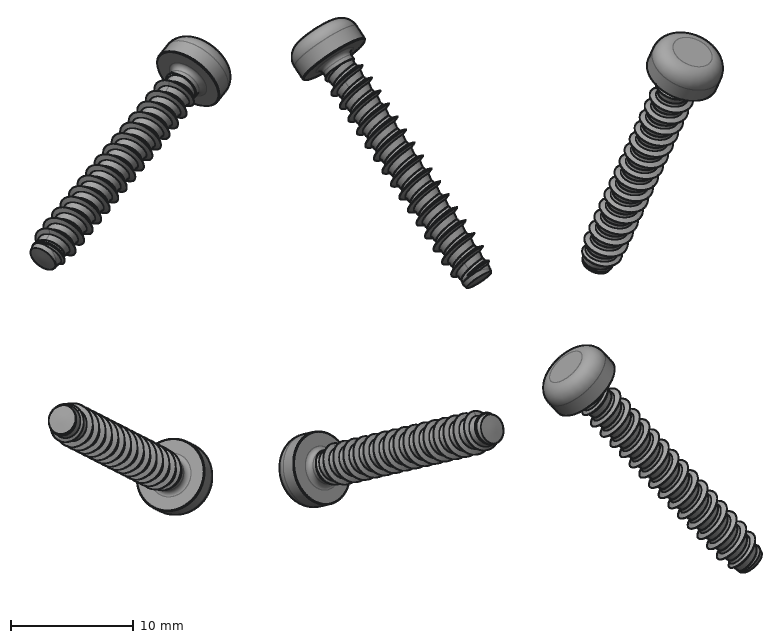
import cadquery as cq
import math


total_length = 24.7
head_diameter = 6.1
head_height = 2.72
shank_length = total_length - head_height

head_radius = head_diameter / 2
head_round = 1.35
head_edge_chamfer = 0.07

neck_radius = 1.38
neck_end = 0.85
neck_fillet = 0.45
neck_chamfer = 0.1

core_radius = 1.2
tip_taper_length = 0.45
tip_cone_height = 0.07
tip_edge = shank_length - tip_cone_height

first_crest_depth = 2.95
full_turns = 13
full_thread_length = 16.76
pitch = full_thread_length / full_turns
crest_radius = 1.78
crest_half_width = 0.02
root_radius = 1.33
tooth_half_width = 0.2
knee_radius = 1.3
skirt_radius = 1.23
buried_radius = 1.1
skirt_head_side = 0.47
skirt_gap = 0.02
skirt_tip_side = pitch - skirt_head_side - skirt_gap

ORIGIN = cq.Vector(0, 0, 0)
X_AXIS = cq.Vector(1, 0, 0)
Z_AXIS = cq.Vector(0, 0, 1)
ANGLE_FOR_CYLINDER = 360

crest_path = [
    (-2.5, root_radius),
    (-2.0, root_radius),
    (-0.7, crest_radius),
    (full_turns + 0.3, crest_radius),
    (full_turns + 1.6, root_radius),
    (full_turns + 2.3, root_radius),
]


def make_body():
    """Head, neck, core and tip as one turned solid."""
    blank = (
        cq.Workplane("XZ")
        .moveTo(0, -head_height)
        .lineTo(head_radius - head_round, -head_height)
        .radiusArc((head_radius, head_round - head_height), -head_round)
        .lineTo(head_radius, -head_edge_chamfer)
        .lineTo(head_radius - head_edge_chamfer, 0)
        .lineTo(neck_radius + neck_fillet, 0)
        .radiusArc((neck_radius, neck_fillet), neck_fillet)
        .lineTo(neck_radius, neck_end)
        .lineTo(core_radius, neck_end + neck_chamfer)
        .lineTo(core_radius, tip_edge)
        .lineTo(0, shank_length)
        .close()
    )
    return blank.revolve(360, (0, 0, 0), (0, 1, 0))


def tooth_profile(crest):
    """Tooth section as (radius, offset toward the tip), for one crest radius."""
    return [
        (buried_radius, -skirt_head_side),
        (skirt_radius, -skirt_head_side),
        (knee_radius, -tooth_half_width),
        (crest, -crest_half_width),
        (crest, crest_half_width),
        (root_radius, tooth_half_width),
        (skirt_radius, skirt_tip_side),
        (buried_radius, skirt_tip_side),
    ]


def helix_edge(narrow_turn, wide_turn, narrow_point, wide_point):
    """Helix that one corner of the tooth section follows, from its narrow end.

    A helix along a cone can only widen as it climbs, so a stretch that narrows
    toward the tip is built from its far end and turned over.
    """
    narrow_radius, offset = narrow_point
    rise = abs(wide_turn - narrow_turn) * pitch
    cone_angle = math.atan2(wide_point[0] - narrow_radius, rise)
    slant = 1 / math.cos(cone_angle)
    helix_angle = math.degrees(cone_angle) or ANGLE_FOR_CYLINDER
    helix = cq.Wire.makeHelix(pitch * slant, rise * slant, narrow_radius, angle=helix_angle)
    if wide_turn < narrow_turn:
        helix = helix.rotate(ORIGIN, X_AXIS, 180)
    depth = first_crest_depth + narrow_turn * pitch + offset
    return helix.rotate(ORIGIN, Z_AXIS, 360 * narrow_turn).translate(cq.Vector(0, 0, depth))


def section_cap(turn, profile):
    """Flat end face of the thread at one turn position."""
    depth = first_crest_depth + turn * pitch
    corners = [cq.Vector(radius, 0, depth + offset) for radius, offset in profile]
    face = cq.Face.makeFromWires(cq.Wire.makePolygon(corners, close=True))
    return face.rotate(ORIGIN, Z_AXIS, 360 * turn)


def thread_faces(start, end):
    """Ruled faces of one stretch of thread between two crest_path entries."""
    narrow, wide = sorted((start, end), key=lambda entry: entry[1])
    corners = zip(tooth_profile(narrow[1]), tooth_profile(wide[1]))
    edges = [helix_edge(narrow[0], wide[0], first, last) for first, last in corners]
    neighbours = edges[1:] + edges[:1]
    return [cq.Face.makeRuledSurface(a, b) for a, b in zip(edges, neighbours)]


def make_thread():
    """Complete thread with both run-outs, trimmed at the neck and at the taper of the tip."""
    faces = []
    for start, end in zip(crest_path, crest_path[1:]):
        faces += thread_faces(start, end)
    for turn, crest in (crest_path[0], crest_path[-1]):
        faces.append(section_cap(turn, tooth_profile(crest)))
    thread = cq.Solid.makeSolid(cq.Shell.makeShell(faces))
    taper_start = tip_edge - tip_taper_length
    envelope = (
        cq.Workplane("XZ")
        .polyline([
            (0, neck_end),
            (head_radius, neck_end),
            (head_radius, taper_start),
            (root_radius, taper_start),
            (core_radius, tip_edge),
            (0, tip_edge),
        ])
        .close()
        .revolve(360, (0, 0, 0), (0, 1, 0))
    )
    return envelope.intersect(cq.Workplane(thread))


screw = make_body().union(make_thread())
result = screw.rotate((0, 0, 0), (1, 0, 0), 90)